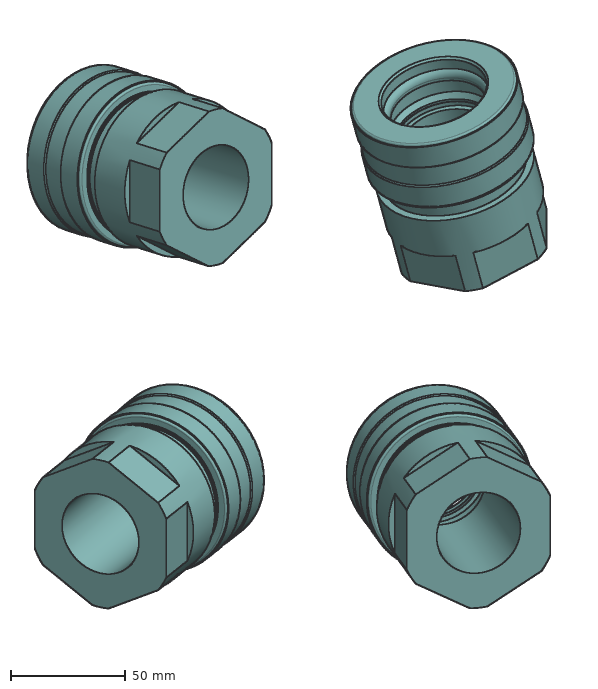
import cadquery as cq
import math

LENGTH = 84.03

SLEEVE_LENGTH = 36.0
BAND_RADIUS = 37.5
BAND_STEP = 0.5
RIM_RADIUS = BAND_RADIUS - BAND_STEP
WAIST_RADIUS = 36.9
RIM_WIDTH = 1.3
RIM_ROUND = 1.0
BAND_WIDTH = 11.1
WAIST_TAPER = 0.7

LIP_RADIUS = 33.0
LIP_WIDTH = 0.9
LIP_CHAMFER = 0.4
NECK_RADIUS = 32.1

BODY_START = 44.0
BODY_RADIUS = 35.45
HEX_LENGTH = 20.0
HEX_ACROSS_FLATS = 65.0
HEX_SIDES = 6

ENTRY_RADIUS = 23.6
ENTRY_CHAMFER = 1.0
RING_START = 6.0
RING_RADIUS = 21.5
RING_RUN = 3.4
RING_LAND = 1.6
CONE_START = 18.8
CONE_END = 21.6
SEAT_RADIUS = 21.7
SEAT_LIP_START = 22.8
SEAT_LIP_STEP = 0.2
SEAT_END = 25.0
THROUGH_RADIUS = 19.0


def outer_body():
    """Revolve the outer profile as a solid, without the bore."""
    band_1_start = RIM_WIDTH
    band_1_end = band_1_start + BAND_WIDTH
    band_2_end = SLEEVE_LENGTH - RIM_WIDTH
    band_2_start = band_2_end - BAND_WIDTH
    lip_end = SLEEVE_LENGTH + LIP_WIDTH
    round_inset = RIM_ROUND * (1 - math.sqrt(0.5))
    return (
        cq.Workplane("XY")
        .moveTo(0, 0)
        .lineTo(0, RIM_RADIUS - RIM_ROUND)
        .threePointArc((round_inset, RIM_RADIUS - round_inset), (RIM_ROUND, RIM_RADIUS))
        .lineTo(band_1_start, RIM_RADIUS)
        .lineTo(band_1_start, BAND_RADIUS)
        .lineTo(band_1_end, BAND_RADIUS)
        .lineTo(band_1_end + WAIST_TAPER, WAIST_RADIUS)
        .lineTo(band_2_start - WAIST_TAPER, WAIST_RADIUS)
        .lineTo(band_2_start, BAND_RADIUS)
        .lineTo(band_2_end, BAND_RADIUS)
        .lineTo(band_2_end, RIM_RADIUS)
        .lineTo(SLEEVE_LENGTH - RIM_ROUND, RIM_RADIUS)
        .threePointArc(
            (SLEEVE_LENGTH - round_inset, RIM_RADIUS - round_inset),
            (SLEEVE_LENGTH, RIM_RADIUS - RIM_ROUND),
        )
        .lineTo(SLEEVE_LENGTH, LIP_RADIUS)
        .lineTo(lip_end - LIP_CHAMFER, LIP_RADIUS)
        .lineTo(lip_end, LIP_RADIUS - LIP_CHAMFER)
        .lineTo(lip_end, NECK_RADIUS)
        .lineTo(BODY_START, NECK_RADIUS)
        .lineTo(BODY_START, BODY_RADIUS)
        .lineTo(LENGTH, BODY_RADIUS)
        .lineTo(LENGTH, 0)
        .close()
        .revolve(360, (0, 0, 0), (1, 0, 0))
    )


def bore():
    """Revolve the space removed by the stepped bore, which passes right through."""
    ring_height = ENTRY_RADIUS - RING_RADIUS
    land_start = RING_START + RING_RUN
    ring_end = land_start + RING_LAND
    arc_radius = (RING_RUN**2 + ring_height**2) / (2 * ring_height)
    half_angle = math.asin(RING_RUN / arc_radius) / 2
    arc_middle = (
        land_start - arc_radius * math.sin(half_angle),
        RING_RADIUS + arc_radius * (1 - math.cos(half_angle)),
    )
    return (
        cq.Workplane("XY")
        .moveTo(0, 0)
        .lineTo(0, ENTRY_RADIUS + ENTRY_CHAMFER)
        .lineTo(ENTRY_CHAMFER, ENTRY_RADIUS)
        .lineTo(RING_START, ENTRY_RADIUS)
        .threePointArc(arc_middle, (land_start, RING_RADIUS))
        .lineTo(ring_end, RING_RADIUS)
        .lineTo(ring_end, ENTRY_RADIUS)
        .lineTo(CONE_START, ENTRY_RADIUS)
        .lineTo(CONE_END, SEAT_RADIUS)
        .lineTo(SEAT_LIP_START, SEAT_RADIUS)
        .lineTo(SEAT_LIP_START, SEAT_RADIUS - SEAT_LIP_STEP)
        .lineTo(SEAT_END, SEAT_RADIUS - SEAT_LIP_STEP)
        .lineTo(SEAT_END, THROUGH_RADIUS)
        .lineTo(LENGTH, THROUGH_RADIUS)
        .lineTo(LENGTH, 0)
        .close()
        .revolve(360, (0, 0, 0), (1, 0, 0))
    )


def cut_hex_flats(body):
    """Cut six flats on the rear end, one pair facing -Y and +Y."""
    hex_start = LENGTH - HEX_LENGTH
    flat_distance = HEX_ACROSS_FLATS / 2
    cutter = (
        cq.Workplane("XY")
        .box(HEX_LENGTH, BODY_RADIUS, 2 * BODY_RADIUS, centered=(False, False, True))
        .translate((hex_start, flat_distance, 0))
    )
    for side in range(HEX_SIDES):
        body = body.cut(cutter.rotate((0, 0, 0), (1, 0, 0), side * 360 / HEX_SIDES))
    return body


result = cut_hex_flats(outer_body()).cut(bore())